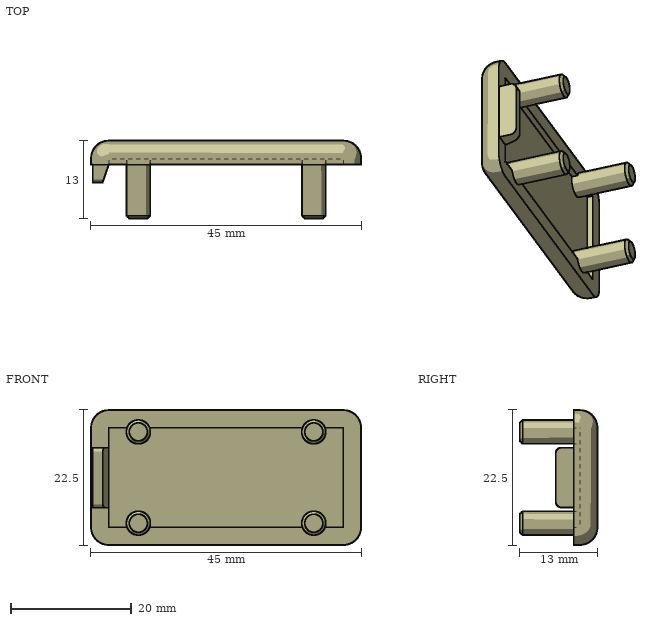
import cadquery as cq

LENGTH = 45.0
HEIGHT = 22.5
THICKNESS = 4.0
LIP = 1.0
EDGE_RADIUS = THICKNESS - LIP
CORNER_RADIUS = EDGE_RADIUS

RIM_WIDTH = 3.0
RECESS_DEPTH = 1.0

PIN_DIAMETER = 4.0
PIN_LENGTH = 9.0
PIN_CHAMFER = 0.5
PIN_SPACING_X = 29.2
PIN_SPACING_Z = 15.2

CLIP_INSET = 0.3
CLIP_TIP_THICKNESS = 1.65
CLIP_LENGTH = 3.0
CLIP_WIDTH = 10.0
CLIP_CORNER_RADIUS = 1.0


def make_plate():
    """Rounded plate with a fully rounded outer edge."""
    plate = cq.Workplane("XY").box(LENGTH, THICKNESS, HEIGHT).translate((0, THICKNESS / 2, 0))
    plate = plate.edges("|Y").fillet(CORNER_RADIUS)
    return plate.faces(">Y").edges().fillet(EDGE_RADIUS)


def make_recess():
    """Block to cut from the inner face, leaving a rim of constant width."""
    block = cq.Workplane("XY").box(LENGTH - 2 * RIM_WIDTH, RECESS_DEPTH, HEIGHT - 2 * RIM_WIDTH)
    return block.translate((0, RECESS_DEPTH / 2, 0))


def make_pins():
    """Four chamfered pins running from the recess floor towards -Y."""
    return (
        cq.Workplane("XZ", origin=(0, RECESS_DEPTH, 0))
        .rarray(PIN_SPACING_X, PIN_SPACING_Z, 2, 2)
        .circle(PIN_DIAMETER / 2)
        .extrude(RECESS_DEPTH + PIN_LENGTH)
        .faces("<Y")
        .chamfer(PIN_CHAMFER)
    )


def make_clip():
    """Clip with a sloping inner side and rounded free corners."""
    outer_x = -LENGTH / 2 + CLIP_INSET
    base_inner_x = -LENGTH / 2 + RIM_WIDTH
    tip_inner_x = outer_x + CLIP_TIP_THICKNESS
    profile = [
        (outer_x, 0),
        (base_inner_x, 0),
        (tip_inner_x, -CLIP_LENGTH),
        (outer_x, -CLIP_LENGTH),
    ]
    clip = cq.Workplane("XY").polyline(profile).close().extrude(CLIP_WIDTH / 2, both=True)
    return clip.faces("<Y").edges("|X").fillet(CLIP_CORNER_RADIUS)


result = make_plate().cut(make_recess()).union(make_pins()).union(make_clip())